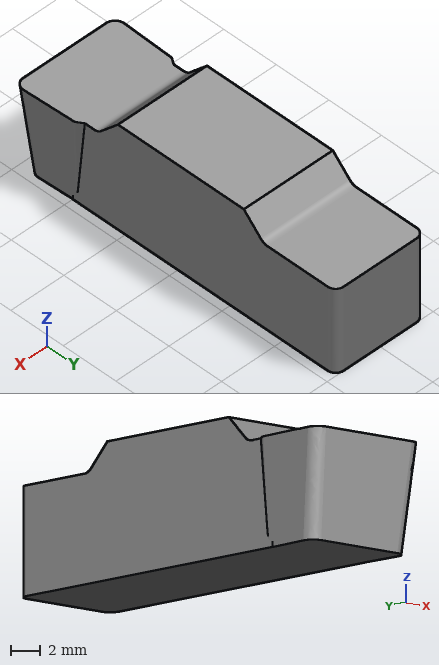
import cadquery as cq
import math

length = 30.0
height = 9.45
seat_height = 7.55

shank_width = 8.4
shank_front_y = -10.0
rear_corner_radius = 0.75

block_front_y = -5.7
block_rear_y = 6.27
ramp_root_radius = 0.9

head_width = 9.5
head_corner_radius = 0.85
front_relief = 0.95
side_relief = 0.42
back_taper_angle = 2.1
shoulder_angle = 33.0
shoulder_start_y = -8.85
shoulder_blend_radius = 0.3
head_root_y = -7.5

front_y = -length / 2
rear_y = length / 2
half_shank = shank_width / 2


def make_shank():
    """Constant-width body with a raised block and rounded vertical rear edges."""
    rise = height - seat_height
    ramp_front_y = block_front_y - rise
    ramp_rear_y = block_rear_y + rise
    body = (
        cq.Workplane("YZ")
        .moveTo(shank_front_y, 0)
        .lineTo(rear_y, 0)
        .lineTo(rear_y, seat_height)
        .lineTo(ramp_rear_y, seat_height)
        .lineTo(block_rear_y, height)
        .lineTo(block_front_y, height)
        .lineTo(ramp_front_y, seat_height)
        .lineTo(shank_front_y, seat_height)
        .close()
        .extrude(half_shank, both=True)
    )
    for root_y in (ramp_front_y, ramp_rear_y):
        root = cq.selectors.NearestToPointSelector((0, root_y, seat_height))
        body = body.edges(root).fillet(ramp_root_radius)
    return body.edges("|Z and >Y").fillet(rear_corner_radius)


def head_outline(side_inset, front_inset):
    """Symmetric head outline with its sides and front moved inwards by the given insets."""
    taper = math.tan(math.radians(back_taper_angle))
    shoulder = math.tan(math.radians(shoulder_angle))

    widest_y = front_y + head_corner_radius

    def side_x(y):
        return head_width / 2 - side_inset - taper * (y - widest_y)

    shoulder_shift = side_inset / math.sin(math.radians(shoulder_angle))
    neck_y = shoulder_start_y - shoulder_shift

    corner_y = neck_y - (side_x(neck_y) - half_shank) / (shoulder - taper)

    inner_x = half_shank - shoulder * (head_root_y - shoulder_start_y)
    inner_y = head_root_y - shoulder_shift
    nose_y = front_y + front_inset
    right_side = [
        (side_x(nose_y), nose_y),
        (side_x(corner_y), corner_y),
        (inner_x, inner_y),
    ]
    left_side = [(-x, y) for x, y in reversed(right_side)]
    return right_side + left_side


def make_head():
    """Relieved head with rounded front corners and softened shoulders."""
    head = (
        cq.Workplane("XY")
        .polyline(head_outline(side_relief, front_relief))
        .close()
        .workplane(offset=seat_height)
        .polyline(head_outline(0, 0))
        .close()
        .loft(ruled=True, combine=True)
    )

    def upright_edges(point_index, radius, solid):
        low_x, low_y = head_outline(side_relief, front_relief)[point_index]
        high_x, high_y = head_outline(0, 0)[point_index]
        middle_x = (low_x + high_x) / 2
        middle_y = (low_y + high_y) / 2
        for side in (-1, 1):
            middle = (side * middle_x, middle_y, seat_height / 2)
            solid = solid.edges(cq.selectors.NearestToPointSelector(middle)).fillet(radius)
        return solid

    head = upright_edges(0, head_corner_radius, head)
    return upright_edges(1, shoulder_blend_radius, head)


result = make_shank().union(make_head()).clean()